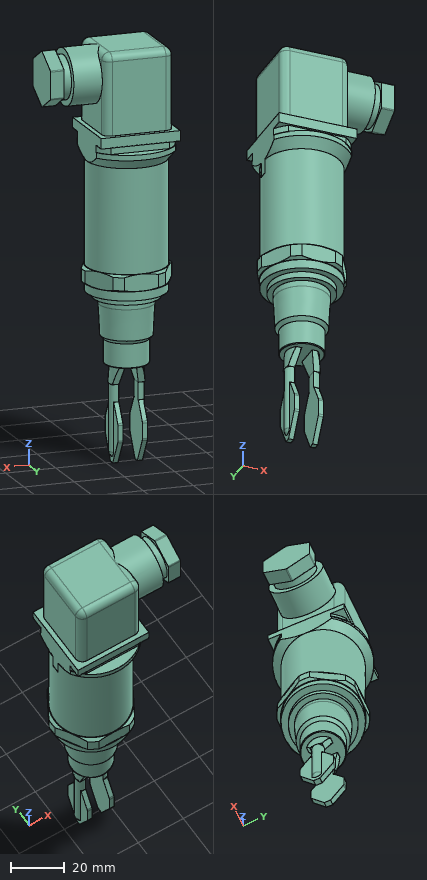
import cadquery as cq
import math

top_z = 162.9
plate_top_z = 131.0
plate_bottom_z = 126.9
neck_bottom_z = 124.1
collar_rim_z = 122.0
collar_bottom_z = 118.1
tab_bottom_z = 112.2
nut_top_z = 76.9
nut_bottom_z = 70.2
flange_bottom_z = 66.6
step_bottom_z = 64.2
thread_taper_z = 61.7
thread_bottom_z = 49.4
tip_top_z = 47.9
tip_bottom_z = 38.3
rod_top_z = 30.8
rod_end_z = 4.4

body_radius = 15.8
step_radius = 13.0
thread_radius = 10.8
thread_end_radius = 10.1
tip_radius = 17.5 / 2
tip_chamfer = 0.3

collar_radius = 38.0 / 2
neck_radius = 18.7
collar_flat_x = body_radius
neck_width_y = 29.3
plate_width_y = 31.1
tab_width = 3.6
tab_depth = 1.6

nut_flat_width = 32.1
nut_radius = 17.5
nut_chamfer_height = 0.8

housing_length_x = 27.5
housing_width_y = 27.4
housing_fillet = 3.1
outlet_radius = 22.3 / 2
outlet_z = top_z - outlet_radius
outlet_end_x = 25.1
gland_neck_radius = 8.6
gland_nut_start_x = 28.3
gland_nut_end_x = 33.7
gland_nut_flat_width = 19.0
gland_nut_edge_fillet = 0.5

prong_gap = 7.7
prong_inner_x = prong_gap / 2
shoulder_inner_x = 2.1
shoulder_top_radius = 6.5
shoulder_top_half_width = 4.9
rod_radius = 2.5
rod_center_x = 4.5
paddle_thickness = 2.1
paddle_half_width = 6.8
paddle_tip_half_width = 1.3
paddle_top_z = 24.0
paddle_wide_top_z = 16.5
paddle_wide_bottom_z = 9.6
paddle_corner_fillet = 1.6


def block(x_min, x_max, width_y, z_min, z_max):
    """Box centred on Y between the given X and Z limits."""
    box = cq.Workplane("XY").box(x_max - x_min, width_y, z_max - z_min, centered=(False, True, False))
    return box.translate((x_min, 0, z_min))


def turned(points):
    """Solid of revolution about Z from a closed (radius, height) outline."""
    return cq.Workplane("XZ").polyline(points).close().revolve(360, (0, 0, 0), (0, 1, 0))


def circumscribed_diameter(flat_width):
    """Corner-to-corner size of a hexagon from its width across flats."""
    return flat_width / math.cos(math.radians(30))


def make_body():
    """Main tube, flange, tapered thread and sensor tip."""
    return turned([
        (0, collar_bottom_z),
        (body_radius, collar_bottom_z),
        (body_radius, flange_bottom_z),
        (step_radius, flange_bottom_z),
        (step_radius, step_bottom_z),
        (thread_radius, step_bottom_z),
        (thread_radius, thread_taper_z),
        (thread_end_radius, thread_bottom_z),
        (tip_radius, tip_top_z),
        (tip_radius, tip_bottom_z + tip_chamfer),
        (tip_radius - tip_chamfer, tip_bottom_z),
        (0, tip_bottom_z),
    ])


def make_nut():
    """Hexagon nut whose corners are turned round and chamfered at both ends."""
    hexagon = (
        cq.Workplane("XY", origin=(0, 0, nut_bottom_z))
        .polygon(6, circumscribed_diameter(nut_flat_width))
        .extrude(nut_top_z - nut_bottom_z)
    )
    face_radius = nut_flat_width / 2
    envelope = turned([
        (0, nut_bottom_z),
        (face_radius, nut_bottom_z),
        (nut_radius, nut_bottom_z + nut_chamfer_height),
        (nut_radius, nut_top_z - nut_chamfer_height),
        (face_radius, nut_top_z),
        (0, nut_top_z),
    ])
    return hexagon.intersect(envelope)


def make_collar():
    """Conical collar and neck, trimmed by flats, with the square plate and locating tab."""
    collar = turned([
        (0, collar_bottom_z),
        (body_radius, collar_bottom_z),
        (collar_radius, collar_rim_z),
        (collar_radius, neck_bottom_z),
        (0, neck_bottom_z),
    ])
    neck = turned([
        (0, neck_bottom_z),
        (neck_radius, neck_bottom_z),
        (neck_radius, plate_bottom_z),
        (0, plate_bottom_z),
    ])
    neck = neck.intersect(
        block(-neck_radius, neck_radius, neck_width_y, neck_bottom_z, plate_bottom_z)
    )
    side_flats = block(-collar_flat_x, collar_flat_x, 2 * collar_radius, collar_bottom_z, plate_bottom_z)
    plate = block(-collar_flat_x, collar_flat_x, plate_width_y, plate_bottom_z, plate_top_z)
    tab = block(-collar_flat_x, tab_depth - collar_flat_x, tab_width, tab_bottom_z, collar_rim_z)
    return collar.union(neck).intersect(side_flats).union(plate).union(tab)


def make_connector():
    """Rounded connector housing with its side cable outlet and gland nut."""
    half_length = housing_length_x / 2
    outlet_start_x = half_length - housing_fillet
    housing = block(-half_length, half_length, housing_width_y, plate_top_z, top_z)
    housing = housing.edges("|Z or >Z").fillet(housing_fillet)
    outlet_plane = cq.Workplane("YZ", origin=(0, 0, outlet_z))
    outlet = (
        outlet_plane.workplane(offset=outlet_start_x)
        .circle(outlet_radius)
        .extrude(outlet_end_x - outlet_start_x)
    )
    gland_neck = outlet_plane.circle(gland_neck_radius).extrude(gland_nut_start_x)
    gland_nut = (
        outlet_plane.workplane(offset=gland_nut_start_x)
        .transformed(rotate=(0, 0, 90))
        .polygon(6, circumscribed_diameter(gland_nut_flat_width))
        .extrude(gland_nut_end_x - gland_nut_start_x)
        .edges("|X")
        .fillet(gland_nut_edge_fillet)
    )
    return housing.union(outlet).union(gland_neck).union(gland_nut)


def make_shoulder():
    """Tapered root joining the +X prong to the sensor tip."""
    rod_outer_x = rod_center_x + rod_radius
    cone = turned([
        (0, rod_top_z),
        (rod_outer_x, rod_top_z),
        (shoulder_top_radius, tip_bottom_z),
        (0, tip_bottom_z),
    ])
    side_outline = [
        (prong_inner_x, rod_top_z),
        (rod_outer_x, rod_top_z),
        (rod_outer_x, tip_bottom_z),
        (shoulder_inner_x, tip_bottom_z),
    ]
    side_wedge = cq.Workplane("XZ").polyline(side_outline).close().extrude(rod_outer_x, both=True)
    end_outline = [
        (-rod_radius, rod_top_z),
        (rod_radius, rod_top_z),
        (shoulder_top_half_width, tip_bottom_z),
        (-shoulder_top_half_width, tip_bottom_z),
    ]
    end_wedge = cq.Workplane("YZ").polyline(end_outline).close().extrude(rod_outer_x)
    return cone.intersect(side_wedge).intersect(end_wedge)


def make_rod():
    """Ball-ended rod of the +X prong, flattened on its inner side."""
    rod = (
        cq.Workplane("XY", origin=(rod_center_x, 0, rod_end_z))
        .circle(rod_radius)
        .extrude(rod_top_z - rod_end_z)
    )
    ball = cq.Workplane("XY", origin=(rod_center_x, 0, rod_end_z)).sphere(rod_radius)
    outer_side = block(
        prong_inner_x, rod_center_x + rod_radius, 2 * rod_radius, rod_end_z - rod_radius, rod_top_z
    )
    return rod.union(ball).intersect(outer_side)


def make_paddle():
    """Flat paddle of the +X prong, flush with the inner side of the rod."""
    half_outline = [
        (rod_radius, paddle_top_z),
        (paddle_half_width, paddle_wide_top_z),
        (paddle_half_width, paddle_wide_bottom_z),
        (paddle_tip_half_width, 0),
    ]
    mirrored_half = [(-y, z) for y, z in reversed(half_outline)]
    paddle = (
        cq.Workplane("YZ", origin=(prong_inner_x, 0, 0))
        .polyline(half_outline + mirrored_half)
        .close()
        .extrude(paddle_thickness)
    )
    wide_corners = paddle.faces(">Y or <Y").edges("|X")
    return wide_corners.fillet(paddle_corner_fillet)


prong = make_shoulder().union(make_rod()).union(make_paddle())

result = (
    make_body()
    .union(make_nut())
    .union(make_collar())
    .union(make_connector())
    .union(prong)
    .union(prong.mirror("YZ"))
)